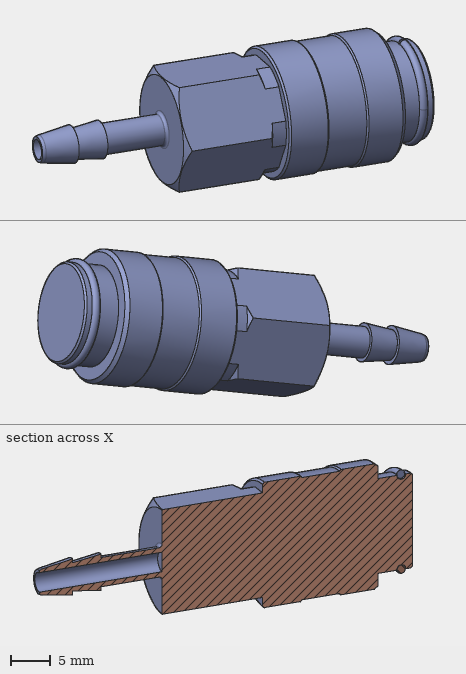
import cadquery as cq
import math

total_length = 51.5

collar_radius = 6.45
collar_length = 4.75
collar_chamfer = 0.25
ring_wire_radius = 0.55
ring_outer_radius = 6.95
ring_to_end = 1.55
ring_gap = 0.4

sleeve_radius = 8.5
waist_radius = 8.3
rear_band_length = 5.35
waist_length = 5.15
front_band_length = 5.45
rear_chamfer_length = 0.5
rear_chamfer_depth = 0.4
front_chamfer = 0.25
band_bevel = sleeve_radius - waist_radius

across_flats = 14.15
hex_length = 13.85
neck_radius = 7.4
neck_length = 1.85
hex_face_radius = 7.0
hex_chamfer_angle = 30.0

stem_radius = 2.0
stem_fillet = 0.4
barb_radius = 2.45
barb_foot_radius = 1.95
inner_barb_length = 3.9
tip_barb_length = 4.65
tip_radius = 1.8
tip_chamfer_length = 0.4
tip_face_radius = 1.65
bore_radius = 1.3

sleeve_rear = total_length - collar_length
waist_rear = sleeve_rear - rear_band_length
waist_front = waist_rear - waist_length
sleeve_front = waist_front - front_band_length
hex_front = sleeve_front - hex_length
ring_y = total_length - ring_to_end
ring_path_radius = ring_outer_radius - ring_wire_radius
bore_depth = hex_front
corner_radius = across_flats / math.sqrt(3)
hex_slope = math.tan(math.radians(hex_chamfer_angle))


def turned(points):
    """Revolve an outline of (radius, Y) points about the Y axis."""
    return cq.Workplane("XY").polyline(points).close().revolve(360, (0, 0, 0), (0, 1, 0))


def make_torus():
    """Full round ring that shapes both the snap ring and its groove."""
    return (
        cq.Workplane("XY")
        .center(ring_path_radius, ring_y)
        .circle(ring_wire_radius)
        .revolve(360, (-ring_path_radius, 0, 0), (-ring_path_radius, 1, 0))
    )


def make_sleeve_and_collar():
    return turned([
        (0, sleeve_front),
        (sleeve_radius - front_chamfer, sleeve_front),
        (sleeve_radius, sleeve_front + front_chamfer),
        (sleeve_radius, waist_front - band_bevel),
        (waist_radius, waist_front),
        (waist_radius, waist_rear),
        (sleeve_radius, waist_rear + band_bevel),
        (sleeve_radius, sleeve_rear - rear_chamfer_length),
        (sleeve_radius - rear_chamfer_depth, sleeve_rear),
        (collar_radius, sleeve_rear),
        (collar_radius, total_length - collar_chamfer),
        (collar_radius - collar_chamfer, total_length),
        (0, total_length),
    ])


def make_hex_nut():
    """Hexagon trimmed by a turned envelope: chamfered front, round rear neck."""
    hexagon = (
        cq.Workplane("XZ", origin=(0, sleeve_front, 0))
        .polygon(6, 2 * corner_radius)
        .extrude(hex_length)
    )
    front_chamfer_length = (corner_radius - hex_face_radius) * hex_slope
    neck_front = sleeve_front - neck_length
    shoulder_length = (corner_radius - neck_radius) * hex_slope
    envelope = turned([
        (0, hex_front),
        (hex_face_radius, hex_front),
        (corner_radius, hex_front + front_chamfer_length),
        (corner_radius, neck_front - shoulder_length),
        (neck_radius, neck_front),
        (neck_radius, sleeve_front),
        (0, sleeve_front),
    ])
    return hexagon.intersect(envelope)


def make_stem():
    """Barbed hose stem with a fillet at the hexagon face."""
    inner_barb_front = tip_barb_length
    inner_barb_rear = inner_barb_front + inner_barb_length
    fillet_offset = stem_fillet * (1 - math.sqrt(0.5))
    return (
        cq.Workplane("XY")
        .moveTo(0, 0)
        .lineTo(tip_face_radius, 0)
        .lineTo(tip_radius, tip_chamfer_length)
        .lineTo(barb_radius, inner_barb_front)
        .lineTo(barb_foot_radius, inner_barb_front)
        .lineTo(barb_radius, inner_barb_rear)
        .lineTo(stem_radius, inner_barb_rear)
        .lineTo(stem_radius, hex_front - stem_fillet)
        .threePointArc(
            (stem_radius + fillet_offset, hex_front - fillet_offset),
            (stem_radius + stem_fillet, hex_front),
        )
        .lineTo(0, hex_front)
        .close()
        .revolve(360, (0, 0, 0), (0, 1, 0))
    )


def make_coupling():
    bore = cq.Workplane("XZ").circle(bore_radius).extrude(-bore_depth)
    body = make_sleeve_and_collar().union(make_hex_nut()).union(make_stem())
    return body.cut(bore).cut(make_torus())


def make_snap_ring():
    """Round-wire ring, split by a narrow gap at +Z."""
    gap_height = 2 * ring_outer_radius
    gap = cq.Workplane("XY").box(
        ring_gap, 4 * ring_wire_radius, gap_height, centered=(True, True, False)
    )
    return make_torus().cut(gap.translate((0, ring_y, 0)))


coupling = make_coupling()
snap_ring = make_snap_ring()
result = cq.Compound.makeCompound([coupling.solids().val(), snap_ring.solids().val()])